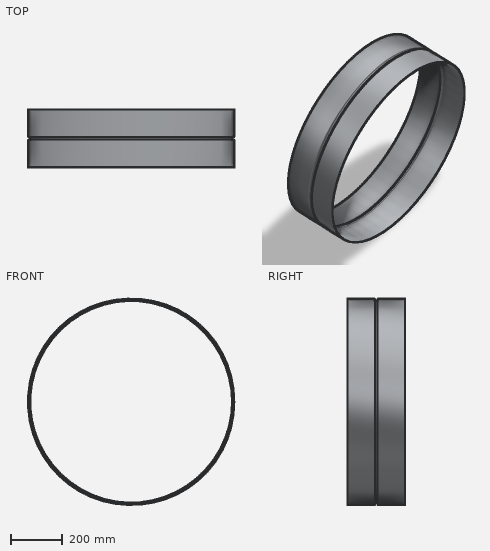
import cadquery as cq
import math

outer_diameter = 802.0
sleeve_length = 225.0
wall = 0.4

bead_root_diameter = 786.0
bead_width = 18.0
bend_radius = 3.0

outer_radius = outer_diameter / 2
half_length = sleeve_length / 2
root_level = bead_root_diameter / 2
bead_half_width = bead_width / 2

root_half_width = bead_half_width - 2 * bend_radius
arc_middle = math.sqrt(0.5)


def revolved_body(offset):
    """Solid of revolution bounded by the sleeve surface moved inward by offset."""
    surface = outer_radius - offset
    root = root_level - offset
    shoulder_radius = bend_radius - offset
    corner_radius = bend_radius + offset
    side_top = surface - shoulder_radius
    side_bottom = root + corner_radius
    side_position = root_half_width + corner_radius

    shoulder_middle_level = side_top + shoulder_radius * arc_middle
    shoulder_middle_position = bead_half_width - shoulder_radius * arc_middle
    corner_middle_level = side_bottom - corner_radius * arc_middle
    corner_middle_position = root_half_width + corner_radius * arc_middle

    profile = (
        cq.Workplane("XY")
        .moveTo(0, -half_length)
        .lineTo(surface, -half_length)
        .lineTo(surface, -bead_half_width)
        .threePointArc((shoulder_middle_level, -shoulder_middle_position), (side_top, -side_position))
        .lineTo(side_bottom, -side_position)
        .threePointArc((corner_middle_level, -corner_middle_position), (root, -root_half_width))
        .lineTo(root, root_half_width)
        .threePointArc((corner_middle_level, corner_middle_position), (side_bottom, side_position))
        .lineTo(side_top, side_position)
        .threePointArc((shoulder_middle_level, shoulder_middle_position), (surface, bead_half_width))
        .lineTo(surface, half_length)
        .lineTo(0, half_length)
        .close()
    )
    return profile.revolve(360, (0, 0, 0), (0, 1, 0))


result = revolved_body(0).cut(revolved_body(wall))